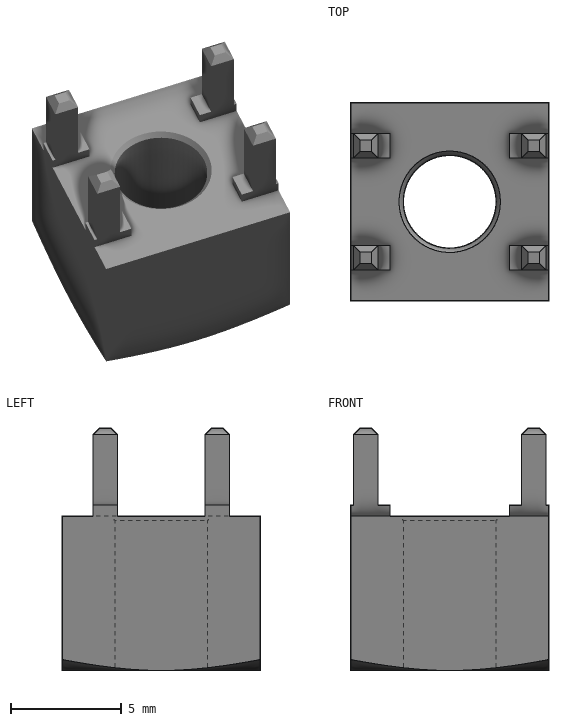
import cadquery as cq
import math

body_width = 9.0
body_height = 7.0

corner_chamfer_angle = 15.0

hole_diameter = 4.2
mouth_diameter = 4.6
mouth_depth = 0.2

pin_width = 1.12
pin_top = 11.0
pin_tip_width = 0.52
pin_tip_height = 0.3
pin_spacing_x = 7.62
pin_spacing_y = 5.08

foot_length = 1.8
foot_height = 0.5


def make_body():
    """Square block whose lower corners are turned off by a cone touching the side faces."""
    block = cq.Workplane("XY").box(body_width, body_width, body_height, centered=(True, True, False))
    flat_radius = body_width / 2
    envelope_radius = body_width
    slope_rise = (envelope_radius - flat_radius) * math.tan(math.radians(corner_chamfer_angle))
    envelope = (
        cq.Workplane("XZ")
        .moveTo(0, 0)
        .lineTo(flat_radius, 0)
        .lineTo(envelope_radius, slope_rise)
        .lineTo(envelope_radius, body_height)
        .lineTo(0, body_height)
        .close()
        .revolve(360, (0, 0), (0, 1))
    )
    return block.intersect(envelope)


def make_hole():
    """Through bore with its conical mouth at the top."""
    bore_radius = hole_diameter / 2
    mouth_radius = mouth_diameter / 2
    return (
        cq.Workplane("XZ")
        .moveTo(0, 0)
        .lineTo(bore_radius, 0)
        .lineTo(bore_radius, body_height - mouth_depth)
        .lineTo(mouth_radius, body_height)
        .lineTo(0, body_height)
        .close()
        .revolve(360, (0, 0), (0, 1))
    )


def make_pin(side_x, side_y):
    """Square pin with a tapered tip and its foot; side_x and side_y are +1 or -1."""
    pin_x = side_x * pin_spacing_x / 2
    pin_y = side_y * pin_spacing_y / 2
    shoulder = pin_top - pin_tip_height
    shank = (
        cq.Workplane("XY", origin=(pin_x, pin_y, body_height))
        .rect(pin_width, pin_width)
        .extrude(shoulder - body_height)
    )
    tip = (
        cq.Workplane("XY", origin=(pin_x, pin_y, shoulder))
        .rect(pin_width, pin_width)
        .workplane(offset=pin_tip_height)
        .rect(pin_tip_width, pin_tip_width)
        .loft(ruled=True)
    )
    foot_x = side_x * (body_width - foot_length) / 2
    foot = (
        cq.Workplane("XY", origin=(foot_x, pin_y, body_height))
        .rect(foot_length, pin_width)
        .extrude(foot_height)
    )
    return foot.union(shank).union(tip)


result = make_body().cut(make_hole())
for side_x in (-1, 1):
    for side_y in (-1, 1):
        result = result.union(make_pin(side_x, side_y))